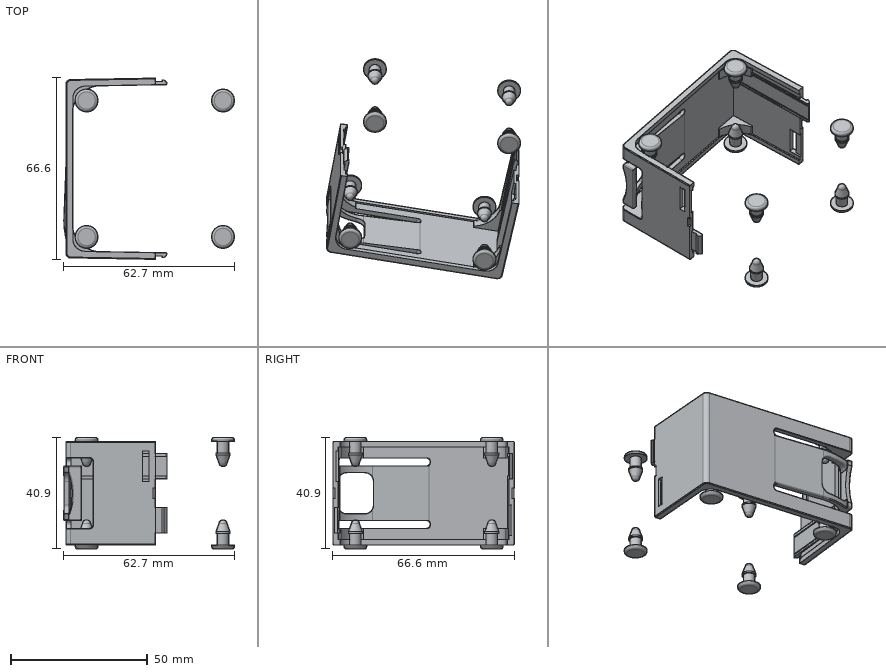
import cadquery as cq
import math

overall_width = 66.55
housing_height = 38.05
arm_length = 32.8
flare_angle = 1.0
corner_radius = 1.8
rim_thickness = 2.5
rim_height = 2.0
rim_corner_radius = 4.5
wall_thickness = 1.9
edge_chamfer = 0.3
opening_chamfer = 0.2

gusset_leg = 8.25
gusset_throat = 2.85

tongue_height = 20.0
slot_gap = 2.85
slot_end_y = 2.4
tongue_root_y = 2.05
crest_x = -0.8
crest_y = -18.8
scoop_middle = (-0.2, -24.75)
scoop_end_x = 1.65
lip_x = 0.85
lip_corner_radius = 0.65
latch_face_y = -32.7
latch_depth = 5.7
latch_rounding = 0.4
hole_rounding = 0.3
window_end_x = 9.9
window_corner_radius = 1.3
finger_hole_height = 15.05
finger_hole_start_y = -18.4
finger_hole_end_y = -31.35
finger_hole_radius = 3.1
grip_depth = 2.4
grip_radius = 20.6

clip_centre_z = 9.9
clip_height = 9.4
clip_tip_x = 37.1
clip_inner_offset = 2.5
clip_outer_offset = 1.2
hook_offset = 0.65
hook_length = 1.8
hook_bevel = 1.05
tip_radius = 0.65
clip_rib_width = 1.1
clip_groove_depth = 0.3
receiver_height = 11.2
receiver_start_x = 28.15
receiver_length = 2.25
receiver_skin = 1.2

notch_length = 0.9
notch_height = 4.0
notch_depth = 0.8

pin_pitch = 50.05
first_pin_x = 7.6
head_radius = 4.2
head_thickness = 1.45
head_fillet = 1.0
shank_radius = 2.1
shank_length = 4.3
barb_radius = 2.6
barb_band = 0.6
taper_end_radius = 1.5
taper_end_depth = 7.9
pin_depth = 9.25

tolerance = 0.0005
half_width = overall_width / 2
half_height = housing_height / 2
flare = math.tan(math.radians(flare_angle))
corner_half_width = half_width - arm_length * flare
tongue_half = tongue_height / 2
window_half = tongue_half + slot_gap
slot_radius = slot_gap / 2
latch_inner_y = latch_face_y + wall_thickness
ledge_z = half_height - rim_height
gusset_thickness = ledge_z - window_half
clip_inner_y = half_width - clip_inner_offset


def arm_outer_y(x):
    """Half width over the flared outer faces at a given X."""
    return corner_half_width + x * flare


def channel(wall, height):
    """Inside of the U at the given wall thickness, open toward +X."""
    far_x = arm_length + wall
    near_y = arm_outer_y(wall) - wall
    far_y = arm_outer_y(far_x) - wall
    points = [(wall, -near_y), (far_x, -far_y), (far_x, far_y), (wall, near_y)]
    return cq.Workplane("XY").polyline(points).close().extrude(height / 2, both=True)


def box(x_range, y_range, z_range):
    """Box between the given limits."""
    size = [high - low for low, high in (x_range, y_range, z_range)]
    centre = [(high + low) / 2 for low, high in (x_range, y_range, z_range)]
    return cq.Workplane("XY").box(*size).translate(tuple(centre))


def turned_over(shape):
    """Half turn about X: carries a feature of the +Y arm to the -Y arm."""
    return shape.rotate((0, 0, 0), (1, 0, 0), 180)


def make_shell():
    outline = [
        (0, -corner_half_width),
        (arm_length, -half_width),
        (arm_length, half_width),
        (0, corner_half_width),
    ]
    block = cq.Workplane("XY").polyline(outline).close().extrude(half_height, both=True)
    block = block.edges("|Z and <X").fillet(corner_radius)
    block = block.faces("|Z").edges("not >X").chamfer(edge_chamfer)
    rim_channel = channel(rim_thickness, housing_height).edges("|Z and <X").fillet(rim_corner_radius)
    return block.cut(rim_channel).cut(channel(wall_thickness, 2 * ledge_z))


def make_gussets():
    """Four triangular shelves with a hollow edge, two below each rim."""
    embed = rim_thickness / 2
    corner_y = arm_outer_y(rim_thickness) - rim_thickness
    shelf = (
        cq.Workplane("XY", origin=(rim_thickness, corner_y, ledge_z - gusset_thickness))
        .moveTo(-embed, embed)
        .lineTo(-embed, -gusset_leg)
        .lineTo(0, -gusset_leg)
        .threePointArc((gusset_throat, -gusset_throat), (gusset_leg, 0))
        .lineTo(gusset_leg, embed)
        .close()
        .extrude(gusset_thickness)
    )
    upper_pair = shelf.union(shelf.mirror("XZ"))
    return upper_pair.union(upper_pair.mirror("XY"))


def is_on_opening_rim(edge):
    """True for an edge of the latch opening on the outside of the plate, corner or arm."""
    middle = edge.positionAt(0.5)
    extent = edge.BoundingBox()
    if max(abs(extent.zmin), abs(extent.zmax)) > window_half + tolerance:
        return False
    if middle.x > window_end_x + tolerance:
        return False
    on_plate = extent.xmax < tolerance
    on_arm = middle.y < tolerance - arm_outer_y(middle.x)
    on_corner = edge.geomType() == "CIRCLE" and abs(edge.radius() - corner_radius) < tolerance
    return on_plate or on_arm or on_corner


def cut_latch_opening(body):
    """Two round-ended slots in the back plate, opening into a window in the -Y arm."""
    reach = overall_width
    slots = (
        cq.Workplane("YZ", origin=(-rim_thickness, 0, 0))
        .pushPoints([(slot_end_y - reach / 2, side * (tongue_half + slot_radius)) for side in (-1, 1)])
        .slot2D(reach, slot_gap)
        .extrude(3 * rim_thickness)
    )
    window = box(
        (-rim_thickness, window_end_x),
        (-half_width - rim_thickness, rim_corner_radius - half_width),
        (-window_half, window_half),
    )
    window = window.edges("|Y and >X").fillet(window_corner_radius)
    flap = box(
        (-rim_thickness, 2 * rim_thickness),
        (-half_width - rim_thickness, tongue_root_y),
        (-tongue_half, tongue_half),
    )
    body = body.cut(window).cut(slots)
    rim_edges = [edge for edge in body.edges().vals() if is_on_opening_rim(edge)]
    return body.newObject(rim_edges).chamfer(opening_chamfer).cut(flap)


def make_tongue_strip():
    """Strip that rises to a crest and falls in a scoop, with an opening for a finger."""
    strip = (
        cq.Workplane("XY", origin=(0, 0, -tongue_half))
        .moveTo(0, tongue_root_y)
        .lineTo(crest_x, crest_y)
        .threePointArc(scoop_middle, (scoop_end_x, latch_inner_y))
        .lineTo(latch_depth, latch_inner_y)
        .threePointArc(
            (scoop_middle[0] + wall_thickness, scoop_middle[1]),
            (crest_x + wall_thickness, crest_y),
        )
        .lineTo(wall_thickness, tongue_root_y)
        .close()
        .extrude(tongue_height)
    )
    front_faces = [face for face in strip.faces("#Z").vals() if is_on_strip_front(face)]
    side_edges = [edge for face in front_faces for edge in face.Edges() if abs(edge.Center().z) > tolerance]
    strip = strip.newObject(side_edges).fillet(latch_rounding)
    strip = strip.cut(make_finger_hole())
    rim_edges = [edge for edge in strip.edges().vals() if is_on_hole_rim(edge, front_faces)]
    return strip.newObject(rim_edges).fillet(hole_rounding)


def is_on_strip_front(face):
    """True for the sloping face and the scoop on the outside of the strip."""
    middle = face.Center()
    return middle.x < wall_thickness / 2 and latch_inner_y + tolerance < middle.y < 0


def is_on_hole_rim(edge, front_faces):
    """True for an edge of the finger hole that lies on the outside of the strip."""
    middle = edge.positionAt(0.5)
    within_height = abs(middle.z) < finger_hole_height / 2 + tolerance
    within_length = latch_inner_y + tolerance < middle.y < finger_hole_start_y + tolerance
    on_crest = edge.geomType() == "LINE" and abs(middle.y - crest_y) < tolerance
    if on_crest or not (within_height and within_length):
        return False
    point = cq.Vertex.makeVertex(middle.x, middle.y, middle.z)
    return min(face.distance(point) for face in front_faces) < tolerance


def make_finger_hole():
    """Rounded opening through the scoop; its far end lies within the latch plate."""
    opening = box(
        (2 * crest_x, 2 * latch_depth),
        (finger_hole_end_y, finger_hole_start_y),
        (-finger_hole_height / 2, finger_hole_height / 2),
    )
    return opening.edges("|X").fillet(finger_hole_radius)


def make_latch_plate():
    """Plate across the end of the strip, standing proud of the scoop as a lip."""
    plate = box((lip_x, latch_depth), (latch_face_y, latch_inner_y), (-tongue_half, tongue_half))
    plate = plate.edges("|Y and <X").fillet(lip_corner_radius).cut(make_grip())
    return plate.faces("<Y").edges().fillet(latch_rounding)


def make_grip():
    """Hollow across the front of the latch plate."""
    return (
        cq.Workplane("XZ", origin=(grip_depth - grip_radius, latch_inner_y, 0))
        .circle(grip_radius)
        .extrude(2 * wall_thickness)
    )


def make_clip():
    """Straight clip on the inside of the +Y arm, with a hook at its free end."""
    outer_y = half_width - clip_outer_offset
    hook_y = half_width - hook_offset
    return (
        cq.Workplane("XY", origin=(0, 0, clip_centre_z - clip_height / 2))
        .moveTo(wall_thickness, clip_inner_y)
        .lineTo(clip_tip_x - tip_radius, clip_inner_y)
        .tangentArcPoint((clip_tip_x, clip_inner_y + tip_radius), relative=False)
        .lineTo(clip_tip_x, hook_y - hook_bevel)
        .lineTo(clip_tip_x - hook_bevel, hook_y)
        .lineTo(clip_tip_x - hook_length, hook_y)
        .lineTo(clip_tip_x - hook_length, outer_y)
        .lineTo(wall_thickness, outer_y)
        .close()
        .extrude(clip_height)
    )


def make_clip_groove():
    """Shallow groove along the inner face of the clip, between two edge ribs."""
    groove_half = clip_height / 2 - clip_rib_width
    return box(
        (wall_thickness, clip_tip_x),
        (clip_inner_y - clip_groove_depth, clip_inner_y + clip_groove_depth),
        (clip_centre_z - groove_half, clip_centre_z + groove_half),
    )


def make_receiver():
    """Slot through the +Y arm and the relief inside it that runs out at the arm end."""
    z_range = (-clip_centre_z - receiver_height / 2, -clip_centre_z + receiver_height / 2)
    slot = box(
        (receiver_start_x, receiver_start_x + receiver_length),
        (half_width - 2 * rim_thickness, half_width + rim_thickness),
        z_range,
    )
    relief = box(
        (receiver_start_x, arm_length),
        (half_width - 2 * rim_thickness, half_width - receiver_skin),
        z_range,
    )
    return slot.union(relief)


def make_notch():
    """Shallow notch at mid height on the outside of the +Y arm end."""
    return box(
        (arm_length - notch_length, arm_length),
        (half_width - notch_depth, half_width),
        (-notch_height / 2, notch_height / 2),
    )


def make_housing():
    body = make_shell()
    for place in (lambda shape: shape, turned_over):
        body = body.union(place(make_clip())).cut(place(make_clip_groove()))
        body = body.cut(place(make_receiver())).cut(place(make_notch()))
    body = cut_latch_opening(body.union(make_gussets()))
    return body.union(make_tongue_strip()).union(make_latch_plate())


def make_pin():
    """Pin with its head resting on Z = 0 and its barbed shank pointing down."""
    tip_half_angle = math.atan((pin_depth - taper_end_depth) / taper_end_radius)
    dome_radius = taper_end_radius / math.sin(2 * tip_half_angle)
    barb_top = -shank_length
    return (
        cq.Workplane("XZ")
        .moveTo(0, head_thickness)
        .lineTo(head_radius - head_fillet, head_thickness)
        .radiusArc((head_radius, head_thickness - head_fillet), head_fillet)
        .lineTo(head_radius, 0)
        .lineTo(shank_radius, 0)
        .lineTo(shank_radius, barb_top)
        .lineTo(barb_radius, barb_top)
        .lineTo(barb_radius, barb_top - barb_band)
        .lineTo(taper_end_radius, -taper_end_depth)
        .radiusArc((0, -pin_depth), dome_radius)
        .close()
        .revolve(360, (0, 0, 0), (0, 1, 0))
    )


def place_pins():
    """Pins on a square grid, heads outward above and below the housing."""
    upper_pin = make_pin().translate((0, 0, half_height))
    pins = []
    for pin in (upper_pin, turned_over(upper_pin)):
        for x in (first_pin_x, first_pin_x + pin_pitch):
            for y in (-pin_pitch / 2, pin_pitch / 2):
                pins.append(pin.translate((x, y, 0)).val())
    return pins


housing = make_housing()
result = cq.Compound.makeCompound([housing.val(), *place_pins()])